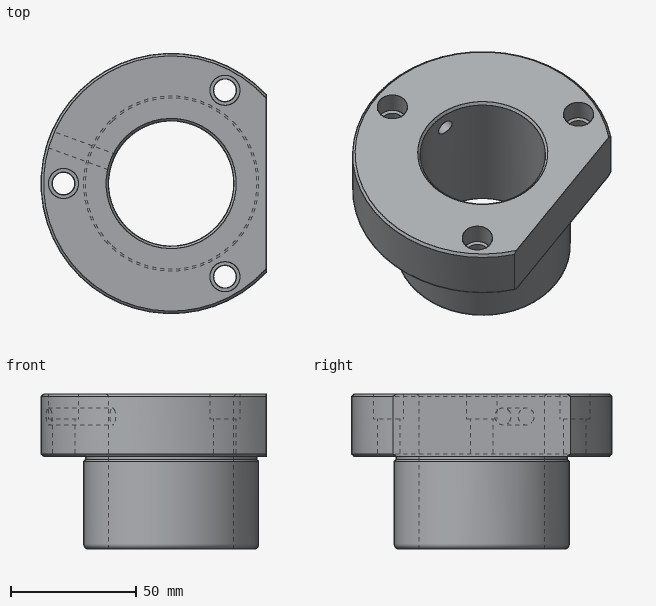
import cadquery as cq
import math

total_height = 62.0
flange_thickness = 25.0
flange_bottom = total_height - flange_thickness

flange_radius = 52.0
flange_chamfer = 1.0
flat_x = 38.0

spigot_radius = 35.0
spigot_end_fillet = 2.0
groove_depth = 0.75
groove_width = 1.25
groove_radius = spigot_radius - groove_depth

bore_radius = 25.0
bore_chamfer = 1.0

bolt_count = 3
bolt_circle_radius = 43.0
bolt_first_angle = 180.0
bolt_hole_diameter = 9.0
counterbore_diameter = 12.0
counterbore_depth = 10.0

port_diameter = 6.8
port_angle = 160.0
port_depth_below_top = 9.0


def make_flange():
    """Chamfered disc with one side cut off flat."""
    disc = (
        cq.Workplane("XY", origin=(0, 0, flange_bottom))
        .circle(flange_radius)
        .extrude(flange_thickness)
        .edges()
        .chamfer(flange_chamfer)
    )
    keep_length = flange_radius + flat_x
    keep = cq.Workplane("XY", origin=(flat_x - keep_length / 2, 0, flange_bottom)).box(
        keep_length, 2 * flange_radius, flange_thickness, centered=(True, True, False)
    )
    return disc.intersect(keep)


def make_spigot():
    """Revolved spigot: rounded lower end, 45 degree shoulder and relief groove."""
    groove_bottom = flange_bottom - groove_width
    shoulder_bottom = groove_bottom - groove_depth
    fillet_middle = spigot_end_fillet * math.sqrt(0.5)
    profile = (
        cq.Workplane("XZ")
        .lineTo(spigot_radius - spigot_end_fillet, 0)
        .threePointArc(
            (spigot_radius - spigot_end_fillet + fillet_middle, spigot_end_fillet - fillet_middle),
            (spigot_radius, spigot_end_fillet),
        )
        .lineTo(spigot_radius, shoulder_bottom)
        .lineTo(groove_radius, groove_bottom)
        .lineTo(groove_radius, flange_bottom)
        .lineTo(0, flange_bottom)
        .close()
    )
    return profile.revolve(360, (0, 0, 0), (0, 1, 0))


def make_bore():
    """Through bore cutter, widened by a chamfer at the top face."""
    profile = (
        cq.Workplane("XZ")
        .lineTo(bore_radius, 0)
        .lineTo(bore_radius, total_height - bore_chamfer)
        .lineTo(bore_radius + bore_chamfer, total_height)
        .lineTo(0, total_height)
        .close()
    )
    return profile.revolve(360, (0, 0, 0), (0, 1, 0))


def drill_bolt_holes(body):
    """Counterbored holes, evenly spaced on the bolt circle."""
    return (
        body.copyWorkplane(cq.Workplane("XY", origin=(0, 0, total_height)))
        .polarArray(bolt_circle_radius, bolt_first_angle, 360, bolt_count)
        .cboreHole(bolt_hole_diameter, counterbore_diameter, counterbore_depth, flange_thickness)
    )


def make_port():
    """Radial cutter running from the bore axis out through the flange rim."""
    angle = math.radians(port_angle)
    direction = cq.Vector(math.cos(angle), math.sin(angle), 0)
    start = cq.Vector(0, 0, total_height - port_depth_below_top)
    return cq.Workplane(cq.Solid.makeCylinder(port_diameter / 2, flange_radius, start, direction))


body = make_flange().union(make_spigot()).cut(make_bore())
body = drill_bolt_holes(body)
result = body.cut(make_port())